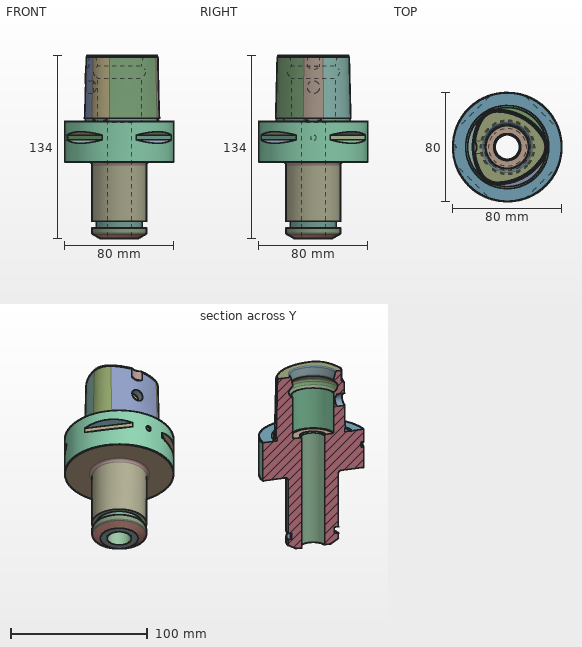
import cadquery as cq
import math


SHANK_TOP = 48.0
GAUGE_Z = 2.0
FLANGE_BOTTOM = -30.0
NECK_TOP = -73.4
NECK_BOTTOM = -77.9
STEM_BOTTOM = -86.0

LOBE_REACH = 29.5
FLAT_REACH = 25.5
LOBE_RADIUS = 14.8
TAPER_SLOPE = 1 / 40
UNDERCUT = 0.4
SHANK_CHAMFER_HEIGHT = 1.4
SHANK_CHAMFER_INSET = 0.7

RING_RADIUS = 29.7
RING_CENTRE_Z = 1.0
RING_SECTION_RADIUS = 1.25

FLANGE_RADIUS = 80.0 / 2
FLANGE_CHAMFER = 0.4
STEM_RADIUS = 40.0 / 2
STEM_FILLET = 2.0
NECK_RADIUS = 34.0 / 2
COLLAR_CHAMFER = 0.4
END_RADIUS = 13.8
END_CONE_ANGLE = 30.0
END_FILLET = 1.0

CUT_OVERRUN = 1.0

SLOT_Z = -12.0
SLOT_FLOOR_DISTANCE = 35.7
SLOT_FLOOR_WIDTH = 3.5
SLOT_FLANK_ANGLE = 30.0
SLOT_COUNT = 4

ENTRY_MOUTH_RADIUS = 35.2 / 2
ENTRY_ROUND = 1.0
ENTRY_CONE_DEPTH = 6.3
BORE_RADIUS = 32.0 / 2
CLAMP_GROOVE_DEPTH = 7.4
CLAMP_GROOVE_RADIUS = 38.0 / 2
GROOVE_TOP_FILLET = 1.5
GROOVE_BOTTOM_FILLET = 3.3
BORE_FLOOR_CHAMFER = 0.4
BORE_START_DEPTH = 16.6
BORE_FLOOR_Z = 0.0
THROUGH_RADIUS = 17.84 / 2
THROUGH_CHAMFER_RADIUS = 19.8 / 2

NOTCH_RADIUS = 6.2
NOTCH_AXIS_X = -28.5
NOTCH_BOTTOM_Z = 40.2
SHANK_HOLE_RADIUS = 9.1 / 2
SHANK_HOLE_DEPTH = 6.0
SHANK_HOLE_Z = 25.0
FLANGE_HOLE_RADIUS = 4.0 / 2
FLANGE_HOLE_DEPTH = 1.5
FLANGE_HOLE_Z = SLOT_Z
DRILL_POINT_ANGLE = 118.0


def polar(radius, angle_deg):
    angle = math.radians(angle_deg)
    return radius * math.cos(angle), radius * math.sin(angle)


def lobed_wire(inset, z):
    """Closed outline of three lobe arcs and three flat-side arcs, all tangent."""
    lobe_centre = LOBE_REACH - LOBE_RADIUS
    excess = FLAT_REACH - LOBE_RADIUS
    radius_gap = (lobe_centre**2 + excess**2 - lobe_centre * excess) / (2 * excess - lobe_centre)
    side_centre = radius_gap - excess

    lobe_x, lobe_y = polar(lobe_centre, 120)
    side_radius = LOBE_RADIUS + radius_gap - inset
    joint_x = side_centre + (lobe_x - side_centre) * side_radius / radius_gap
    joint_y = lobe_y * side_radius / radius_gap
    joint_distance = math.hypot(joint_x, joint_y)
    joint_angle = math.degrees(math.atan2(joint_y, joint_x))
    half_lobe = joint_angle - 120

    outline = cq.Workplane("XY", origin=(0, 0, z)).moveTo(*polar(joint_distance, -half_lobe))
    for lobe_angle in (0, 120, 240):
        outline = outline.threePointArc(
            polar(LOBE_REACH - inset, lobe_angle),
            polar(joint_distance, lobe_angle + half_lobe),
        )
        outline = outline.threePointArc(
            polar(FLAT_REACH - inset, lobe_angle + 60),
            polar(joint_distance, lobe_angle + 120 - half_lobe),
        )
    return outline.close().val()


def lobed_frustum(bottom_inset, bottom_z, top_inset, top_z):
    wires = [lobed_wire(bottom_inset, bottom_z), lobed_wire(top_inset, top_z)]
    return cq.Workplane(obj=cq.Solid.makeLoft(wires, True))


def revolve_profile(points):
    return cq.Workplane("XZ").polyline(points).close().revolve(360, (0, 0, 0), (0, 1, 0))


def level_selector(z):
    """Selects the edges centred at height z."""
    margin = 0.1
    return cq.selectors.BoxSelector(
        (-FLANGE_RADIUS, -FLANGE_RADIUS, z - margin),
        (FLANGE_RADIUS, FLANGE_RADIUS, z + margin),
    )


def make_shank():
    chamfer_z = SHANK_TOP - SHANK_CHAMFER_HEIGHT
    chamfer_inset = TAPER_SLOPE * (chamfer_z - GAUGE_Z)
    top_inset = chamfer_inset + SHANK_CHAMFER_INSET
    base = lobed_frustum(UNDERCUT, -FLANGE_CHAMFER, UNDERCUT, GAUGE_Z)
    taper = lobed_frustum(0, GAUGE_Z, chamfer_inset, chamfer_z)
    tip = lobed_frustum(chamfer_inset, chamfer_z, top_inset, SHANK_TOP)
    return base.union(taper).union(tip)


def make_flange():
    height = -FLANGE_BOTTOM
    flange = cq.Workplane("XY", origin=(0, 0, FLANGE_BOTTOM)).circle(FLANGE_RADIUS).extrude(height)
    return flange.edges().chamfer(FLANGE_CHAMFER)


def make_stem():
    cone_top = STEM_BOTTOM + (STEM_RADIUS - END_RADIUS) * math.tan(math.radians(END_CONE_ANGLE))
    collar_chamfer_z = NECK_BOTTOM - COLLAR_CHAMFER
    stem = revolve_profile([
        (0, FLANGE_BOTTOM),
        (STEM_RADIUS, FLANGE_BOTTOM),
        (STEM_RADIUS, NECK_TOP),
        (NECK_RADIUS, NECK_TOP),
        (NECK_RADIUS, NECK_BOTTOM),
        (STEM_RADIUS - COLLAR_CHAMFER, NECK_BOTTOM),
        (STEM_RADIUS, collar_chamfer_z),
        (STEM_RADIUS, cone_top),
        (END_RADIUS, STEM_BOTTOM),
        (0, STEM_BOTTOM),
    ])
    return stem.edges(level_selector(cone_top)).fillet(END_FILLET)


def make_stem_fillet():
    """Ring that rounds the inner corner between flange and stem."""
    inner = STEM_RADIUS - STEM_FILLET / 2
    outer = STEM_RADIUS + STEM_FILLET
    low = FLANGE_BOTTOM - STEM_FILLET
    middle = STEM_FILLET * math.sqrt(0.5)
    return (
        cq.Workplane("XZ")
        .moveTo(inner, FLANGE_BOTTOM)
        .lineTo(outer, FLANGE_BOTTOM)
        .threePointArc((outer - middle, low + middle), (STEM_RADIUS, low))
        .lineTo(inner, low)
        .close()
        .revolve(360, (0, 0, 0), (0, 1, 0))
    )


def make_ring_groove():
    return cq.Workplane(obj=cq.Solid.makeTorus(
        RING_RADIUS, RING_SECTION_RADIUS, cq.Vector(0, 0, RING_CENTRE_Z)))


def make_gripper_slots():
    depth = FLANGE_RADIUS - SLOT_FLOOR_DISTANCE + CUT_OVERRUN
    half_floor = SLOT_FLOOR_WIDTH / 2
    half_mouth = half_floor + depth * math.tan(math.radians(SLOT_FLANK_ANGLE))
    slot = (
        cq.Workplane("XZ")
        .moveTo(SLOT_FLOOR_DISTANCE, SLOT_Z - half_floor)
        .lineTo(SLOT_FLOOR_DISTANCE + depth, SLOT_Z - half_mouth)
        .lineTo(SLOT_FLOOR_DISTANCE + depth, SLOT_Z + half_mouth)
        .lineTo(SLOT_FLOOR_DISTANCE, SLOT_Z + half_floor)
        .close()
        .extrude(FLANGE_RADIUS, both=True)
    )
    step = 360 / SLOT_COUNT
    slots = cq.Workplane()
    for index in range(SLOT_COUNT):
        slots = slots.add(slot.rotate((0, 0, 0), (0, 0, 1), step * (index + 0.5)))
    return slots.combine()


def make_bore():
    groove_step = CLAMP_GROOVE_RADIUS - BORE_RADIUS
    groove_top = SHANK_TOP - CLAMP_GROOVE_DEPTH
    wall_top = groove_top - groove_step
    bore_start = SHANK_TOP - BORE_START_DEPTH
    wall_bottom = bore_start + groove_step
    through_chamfer = THROUGH_CHAMFER_RADIUS - THROUGH_RADIUS
    bore = revolve_profile([
        (0, SHANK_TOP),
        (ENTRY_MOUTH_RADIUS, SHANK_TOP),
        (BORE_RADIUS, SHANK_TOP - ENTRY_CONE_DEPTH),
        (BORE_RADIUS, groove_top),
        (CLAMP_GROOVE_RADIUS, wall_top),
        (CLAMP_GROOVE_RADIUS, wall_bottom),
        (BORE_RADIUS, bore_start),
        (BORE_RADIUS, BORE_FLOOR_Z + BORE_FLOOR_CHAMFER),
        (BORE_RADIUS - BORE_FLOOR_CHAMFER, BORE_FLOOR_Z),
        (THROUGH_CHAMFER_RADIUS, BORE_FLOOR_Z),
        (THROUGH_RADIUS, BORE_FLOOR_Z - through_chamfer),
        (THROUGH_RADIUS, STEM_BOTTOM),
        (0, STEM_BOTTOM),
    ])
    bore = bore.edges(level_selector(wall_top)).fillet(GROOVE_TOP_FILLET)
    return bore.edges(level_selector(wall_bottom)).fillet(GROOVE_BOTTOM_FILLET)


def round_bore_mouth(body):
    """Rounds the only inner edge of the top face."""
    top_face = body.faces(">Z").val()
    mouth_edges = top_face.innerWires()[0].Edges()
    return cq.Workplane(obj=body.val().fillet(ENTRY_ROUND, mouth_edges))


def make_notch():
    """Upright drilled notch with a 90 degree point."""
    notch = revolve_profile([
        (0, SHANK_TOP),
        (NOTCH_RADIUS, SHANK_TOP),
        (NOTCH_RADIUS, NOTCH_BOTTOM_Z),
        (0, NOTCH_BOTTOM_Z - NOTCH_RADIUS),
    ])
    return notch.translate((NOTCH_AXIS_X, 0, 0))


def make_drilled_hole(radius, depth, surface_x, z):
    """Blind hole along +X with a conical drill point, opened outwards past the surface."""
    point = radius / math.tan(math.radians(DRILL_POINT_ANGLE / 2))
    hole = revolve_profile([
        (0, CUT_OVERRUN),
        (radius, CUT_OVERRUN),
        (radius, -depth),
        (0, -depth - point),
    ])
    return hole.rotate((0, 0, 0), (0, 1, 0), -90).translate((surface_x, 0, z))


shank_surface_x = TAPER_SLOPE * (SHANK_HOLE_Z - GAUGE_Z) - FLAT_REACH

blank = make_shank().union(make_flange()).union(make_stem()).union(make_stem_fillet())
bored_blank = round_bore_mouth(blank.cut(make_bore()))

result = (
    bored_blank
    .cut(make_ring_groove())
    .cut(make_gripper_slots())
    .cut(make_notch())
    .cut(make_drilled_hole(SHANK_HOLE_RADIUS, SHANK_HOLE_DEPTH, shank_surface_x, SHANK_HOLE_Z))
    .cut(make_drilled_hole(FLANGE_HOLE_RADIUS, FLANGE_HOLE_DEPTH, -FLANGE_RADIUS, FLANGE_HOLE_Z))
)